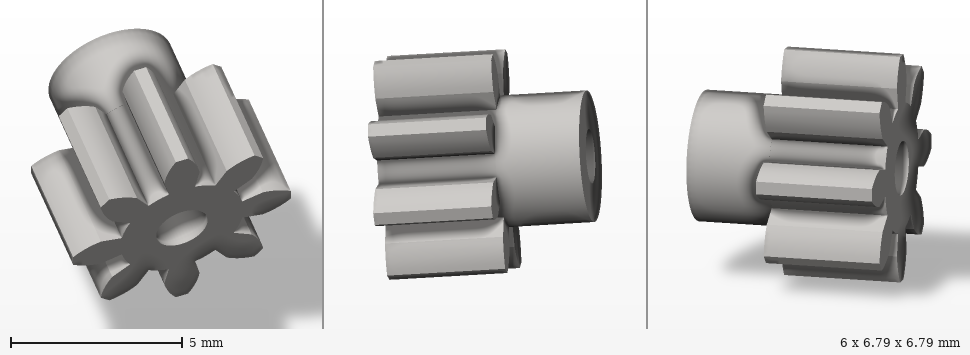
import cadquery as cq

total_length = 6.0
hub_length = 2.5
gear_length = total_length - hub_length
hub_diameter = 3.86
root_diameter = 3.84
bore_diameter = 1.6

tooth_count = 8
tip_height = 3.395
tip_half_width = 0.19
flank_mid_height = 3.03
flank_mid_half_width = 0.41
widest_height = 2.525
widest_half_width = 0.55


def cylinder(diameter, start, length):
    """Solid cylinder along +X beginning at the given X position."""
    return cq.Workplane("YZ", origin=(start, 0, 0)).circle(diameter / 2).extrude(length)


def tooth(angle):
    """One gear tooth, its wedge starting on the axis, turned about X."""
    profile = (
        cq.Workplane("YZ", origin=(hub_length, 0, 0))
        .lineTo(widest_half_width, widest_height)
        .threePointArc((flank_mid_half_width, flank_mid_height), (tip_half_width, tip_height))
        .lineTo(-tip_half_width, tip_height)
        .threePointArc((-flank_mid_half_width, flank_mid_height), (-widest_half_width, widest_height))
        .close()
    )
    return profile.extrude(gear_length).rotate((0, 0, 0), (1, 0, 0), angle)


body = cylinder(hub_diameter, 0, hub_length)
body = body.union(cylinder(root_diameter, hub_length, gear_length))

for index in range(tooth_count):
    body = body.union(tooth(index * 360 / tooth_count))

result = body.cut(cylinder(bore_diameter, 0, total_length))